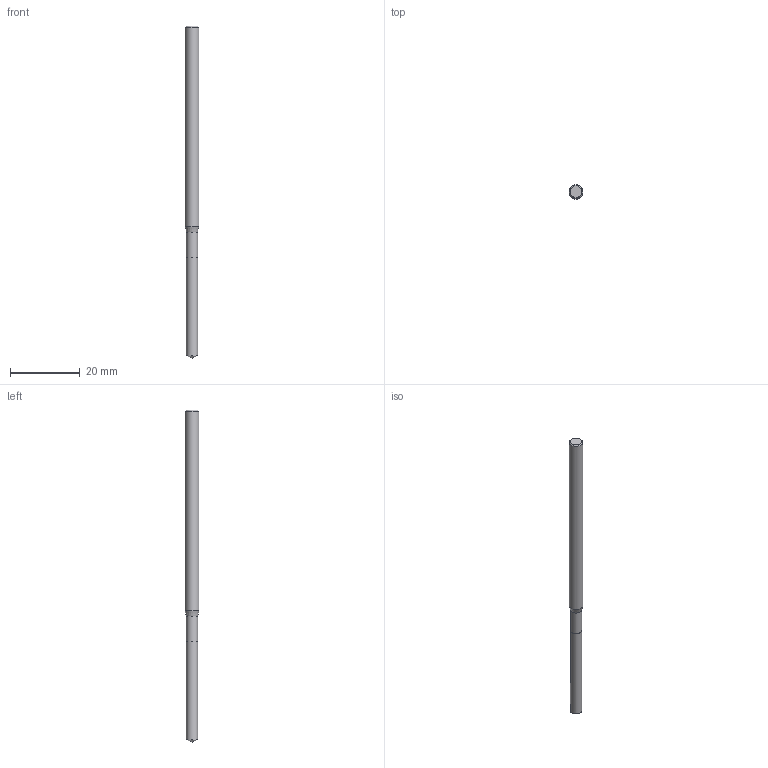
import cadquery as cq
import math

overall_length = 95.0
cutting_length = 28.75
neck_end = 36.0
shank_start = 37.5

shank_diameter = 4.0
cutting_diameter = 3.2
point_angle = 137.0
shank_chamfer = 0.3

shank_radius = shank_diameter / 2
cutting_radius = cutting_diameter / 2
point_height = cutting_radius / math.tan(math.radians(point_angle / 2))


def make_cutting_part():
    """Solid cutting cylinder with a conical point; the profile lies on the -X side."""
    return (
        cq.Workplane("XZ")
        .moveTo(0, 0)
        .lineTo(-cutting_radius, point_height)
        .lineTo(-cutting_radius, cutting_length)
        .lineTo(0, cutting_length)
        .close()
        .revolve(360, (0, 0), (0, 1))
    )


def make_shank():
    """Neck, taper and chamfered shank; the profile lies on the -Y side."""
    return (
        cq.Workplane("YZ")
        .moveTo(0, cutting_length)
        .lineTo(-cutting_radius, cutting_length)
        .lineTo(-cutting_radius, neck_end)
        .lineTo(-shank_radius, shank_start)
        .lineTo(-shank_radius, overall_length - shank_chamfer)
        .lineTo(shank_chamfer - shank_radius, overall_length)
        .lineTo(0, overall_length)
        .close()
        .revolve(360, (0, 0), (0, 1))
    )


cutting_part = make_cutting_part()
shank = make_shank()

result = cq.Compound.makeCompound([cutting_part.val(), shank.val()])